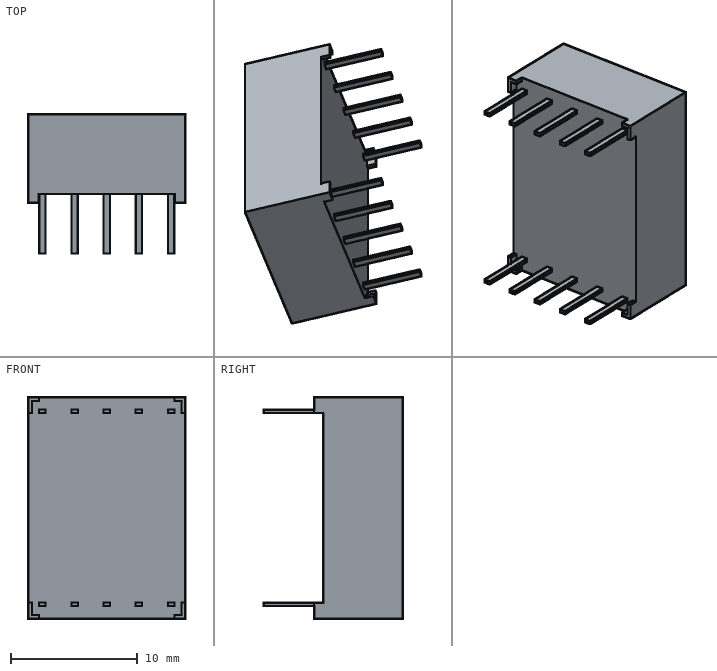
import cadquery as cq

body_width = 12.4
body_height = 17.5
body_depth = 6.3

foot_projection = 0.7
foot_wall = 0.3
foot_length_x = 0.85
foot_length_z = 1.28

pin_rows = 2
pins_per_row = 5
pin_pitch = 2.54
row_spacing = 15.24
pin_width = 0.52
pin_thickness = 0.27
pin_beyond_feet = 4.0
pin_length = foot_projection + pin_beyond_feet


def make_body():
    return cq.Workplane("XY").box(body_width, body_depth, body_height, centered=(True, False, True))


def make_foot(side_x, side_z):
    """L-shaped foot in the corner picked by the signs side_x and side_z."""
    corner_x = side_x * body_width / 2
    corner_z = side_z * body_height / 2
    outline = [
        (corner_x, corner_z),
        (corner_x - side_x * foot_length_x, corner_z),
        (corner_x - side_x * foot_length_x, corner_z - side_z * foot_wall),
        (corner_x - side_x * foot_wall, corner_z - side_z * foot_wall),
        (corner_x - side_x * foot_wall, corner_z - side_z * foot_length_z),
        (corner_x, corner_z - side_z * foot_length_z),
    ]
    return cq.Workplane("XZ").polyline(outline).close().extrude(foot_projection)


def make_pins():
    return (
        cq.Workplane("XZ")
        .rarray(pin_pitch, row_spacing, pins_per_row, pin_rows)
        .rect(pin_width, pin_thickness)
        .extrude(pin_length)
    )


result = make_body().union(make_pins())
for side_x in (-1, 1):
    for side_z in (-1, 1):
        result = result.union(make_foot(side_x, side_z))